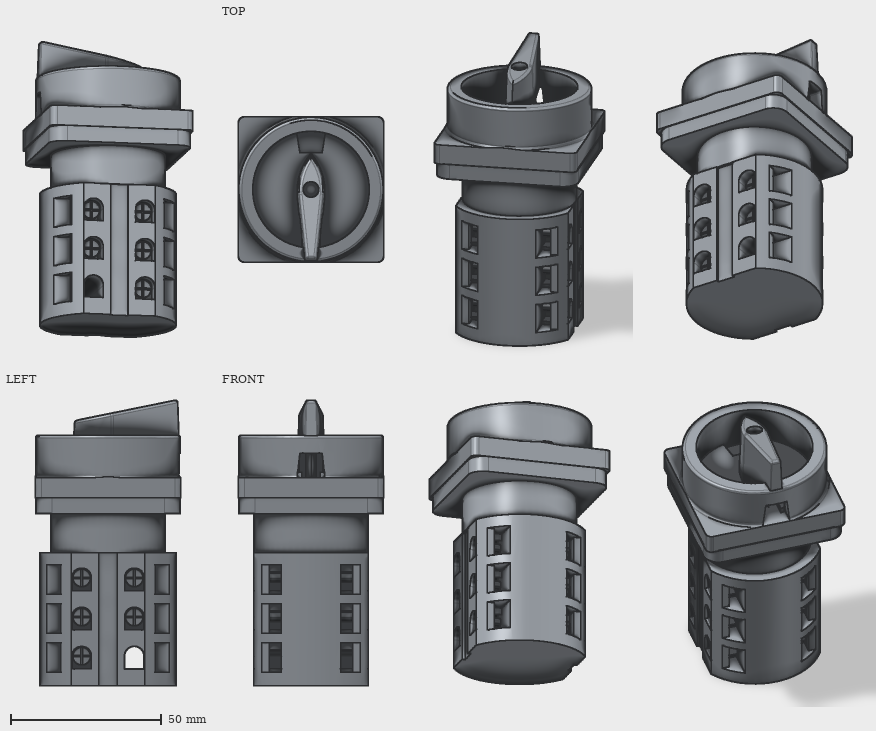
import cadquery as cq
import math


BODY_TOP = 44.4
NECK_TOP = 57.4
LOWER_PLATE_TOP = 62.6
PLATE_TOP = 69.3
DISC_TOP = 71.1
RING_TOP = 83.6
KNOB_PEAK = 95.2

BODY_HALF_X = 19.1
BODY_HALF_Y = 22.75
FLAT_HALF_Y = 12.2
GROOVE_HALF_Y = 3.0
GROOVE_DEPTH = 1.0
STAGE_COUNT = 3
STAGE_PITCH = 13.0
LOWEST_STAGE = 9.9
STAGE_HEIGHTS = [LOWEST_STAGE + stage * STAGE_PITCH for stage in range(STAGE_COUNT)]

WINDOW_INNER_X = 9.9
WINDOW_STEP_X = 13.9
WINDOW_OUTER_X = 16.6
WINDOW_STEP_Y = 15.7
WINDOW_BACK_Y = 11.2
WINDOW_HEIGHT = 9.8
WINDOW_DROP = 0.5
CHANNEL_Y = 8.8
CHANNEL_RADIUS = 3.2
CHANNEL_DROP = 4.3
HEAD_RADIUS = 2.95
HEAD_THICKNESS = 1.2
CROSS_WIDTH = 0.6
CROSS_DEPTH = 0.6
SHANK_RADIUS = 1.5

NECK_RADIUS = 19.0
PLATE_SIZE = 48.5
PLATE_CORNER = 2.1
LOWER_PLATE_SIZE = 48.1
LOWER_PLATE_CORNER = 5.2

RING_RADIUS = 24.1
BORE_RADIUS = 19.4
RING_FILLET = 0.95
COVE_RADIUS = 0.95
NOTCH_INNER_Y = 12.2
NOTCH_INNER_HALF = 3.7
NOTCH_OUTER_HALF = 4.8
RING_WINDOW_TOP = 77.6
RING_WINDOW_BASE_HALF = 4.7
RING_WINDOW_TOP_HALF = 3.7
RING_WINDOW_CORNER = 0.6

KNOB_DRAFT = 2.0
KNOB_HALF_WIDTH = 4.7
KNOB_TIP_Y = 12.1
KNOB_SHOULDER_Y = -0.9
KNOB_SHOULDER_LENGTH = 0.9
KNOB_TAIL_Y = -24.1
KNOB_TAIL_HALF = 2.5
KNOB_PEAK_Y = -22.3
KNOB_SLOPE = 11.5
KNOB_FILLET = 0.95
KNOB_TAIL_FILLET = 0.3
KNOB_HOLE_RADIUS = 2.6
KNOB_HOLE_FLOOR = 80.9
UNDERCUT_Y = -8.4
DISC_SLOT_HALF = 3.0
NOSE_HALF = 1.7
NOSE_TIP_Y = -15.2


def block(x_range, y_range, z_range):
    """Axis-aligned box given by its limits along each axis."""
    corners = [sorted(limits) for limits in (x_range, y_range, z_range)]
    sizes = [high - low for low, high in corners]
    lows = [low for low, high in corners]
    return cq.Workplane("XY").box(*sizes, centered=False).translate(tuple(lows))


def rod(radius, x_start, x_end, y, z):
    """Cylinder parallel to X."""
    start = min(x_start, x_end)
    return (
        cq.Workplane("YZ", origin=(start, y, z))
        .circle(radius)
        .extrude(abs(x_end - x_start))
    )


def arched_channel(x_start, x_end, y, z):
    """Round-topped, flat-bottomed tunnel parallel to X."""
    start = min(x_start, x_end)
    return (
        cq.Workplane("YZ", origin=(start, y, z))
        .moveTo(-CHANNEL_RADIUS, -CHANNEL_DROP)
        .lineTo(CHANNEL_RADIUS, -CHANNEL_DROP)
        .lineTo(CHANNEL_RADIUS, 0)
        .threePointArc((0, CHANNEL_RADIUS), (-CHANNEL_RADIUS, 0))
        .close()
        .extrude(abs(x_end - x_start))
    )


def terminal_screw(side, y, z):
    """Cross-slotted screw whose shank is rooted in the inner wall of the window."""
    head_face = side * (WINDOW_STEP_X + HEAD_THICKNESS)
    slot_floor = head_face - side * CROSS_DEPTH
    head = rod(HEAD_RADIUS, side * WINDOW_STEP_X, head_face, y, z)
    for half_y, half_z in [(CROSS_WIDTH / 2, HEAD_RADIUS), (HEAD_RADIUS, CROSS_WIDTH / 2)]:
        head = head.cut(
            block((slot_floor, head_face), (y - half_y, y + half_y), (z - half_z, z + half_z))
        )
    shank = rod(SHANK_RADIUS, side * WINDOW_INNER_X, side * WINDOW_STEP_X, y, z)
    return head.union(shank)


def contact_body():
    body = (
        cq.Workplane("XY")
        .moveTo(-BODY_HALF_X, -FLAT_HALF_Y)
        .threePointArc((0, -BODY_HALF_Y), (BODY_HALF_X, -FLAT_HALF_Y))
        .lineTo(BODY_HALF_X, FLAT_HALF_Y)
        .threePointArc((0, BODY_HALF_Y), (-BODY_HALF_X, FLAT_HALF_Y))
        .close()
        .extrude(BODY_TOP)
    )
    groove_y = (-GROOVE_HALF_Y, GROOVE_HALF_Y)
    for side in (-1, 1):
        groove_x = (side * (BODY_HALF_X - GROOVE_DEPTH), side * BODY_HALF_X)
        body = body.cut(block(groove_x, groove_y, (0, BODY_TOP)))
        for end in (-1, 1):
            for z in STAGE_HEIGHTS:
                body = cut_terminal(body, side, end, z)
    return body.cut(arched_channel(-BODY_HALF_X, BODY_HALF_X, -CHANNEL_Y, LOWEST_STAGE))


def cut_terminal(body, side, end, z):
    """Open one stepped wire window with its screw channel and fit the screw."""
    middle = z - WINDOW_DROP
    window_z = (middle - WINDOW_HEIGHT / 2, middle + WINDOW_HEIGHT / 2)
    deep_x = (side * WINDOW_INNER_X, side * WINDOW_STEP_X)
    step_x = (side * WINDOW_STEP_X, side * WINDOW_OUTER_X)
    channel_y = end * CHANNEL_Y
    body = body.cut(block(deep_x, (end * WINDOW_BACK_Y, end * BODY_HALF_Y), window_z))
    body = body.cut(block(step_x, (end * WINDOW_STEP_Y, end * BODY_HALF_Y), window_z))
    body = body.cut(arched_channel(side * WINDOW_INNER_X, side * BODY_HALF_X, channel_y, z))
    if end == -1 and z == LOWEST_STAGE:
        return body
    return body.union(terminal_screw(side, channel_y, z))


def rounded_plate(size, corner, bottom, top):
    return (
        cq.Workplane("XY", origin=(0, 0, bottom))
        .rect(size, size)
        .extrude(top - bottom)
        .edges("|Z")
        .fillet(corner)
    )


def collar_ring():
    """Ring wall with its inner disc, and a cove at the foot trimmed to the plate."""
    ring = (
        cq.Workplane("XY", origin=(0, 0, PLATE_TOP))
        .circle(RING_RADIUS)
        .extrude(RING_TOP - PLATE_TOP)
        .edges(">Z")
        .fillet(RING_FILLET)
    )
    bore = cq.Workplane("XY", origin=(0, 0, DISC_TOP)).circle(BORE_RADIUS).extrude(RING_TOP - DISC_TOP)
    cove_mid = COVE_RADIUS * (1 - math.sqrt(0.5))
    cove = (
        cq.Workplane("XZ")
        .moveTo(BORE_RADIUS, PLATE_TOP)
        .lineTo(RING_RADIUS + COVE_RADIUS, PLATE_TOP)
        .threePointArc(
            (RING_RADIUS + cove_mid, PLATE_TOP + cove_mid),
            (RING_RADIUS, PLATE_TOP + COVE_RADIUS),
        )
        .lineTo(BORE_RADIUS, PLATE_TOP + COVE_RADIUS)
        .close()
        .revolve(360, (0, 0, 0), (0, 1, 0))
        .intersect(rounded_plate(PLATE_SIZE, PLATE_CORNER, PLATE_TOP, RING_TOP))
    )
    notch_outer_y = math.sqrt(BORE_RADIUS**2 - NOTCH_OUTER_HALF**2)
    notch = (
        cq.Workplane("XY", origin=(0, 0, PLATE_TOP))
        .moveTo(-NOTCH_INNER_HALF, NOTCH_INNER_Y)
        .lineTo(NOTCH_INNER_HALF, NOTCH_INNER_Y)
        .lineTo(NOTCH_OUTER_HALF, notch_outer_y)
        .threePointArc((0, BORE_RADIUS), (-NOTCH_OUTER_HALF, notch_outer_y))
        .close()
        .extrude(DISC_TOP - PLATE_TOP)
    )
    return ring.cut(bore).union(cove).cut(notch)


def pointer_knob():
    """Drafted pointer with a sloping top, rounded upper edges and a blind hole."""
    tip_rise = KNOB_TIP_Y - KNOB_SHOULDER_Y
    side_radius = (KNOB_HALF_WIDTH**2 + tip_rise**2) / (2 * KNOB_HALF_WIDTH)
    mid_y = KNOB_SHOULDER_Y + tip_rise / 2
    mid_x = KNOB_HALF_WIDTH - side_radius + math.sqrt(side_radius**2 - (tip_rise / 2) ** 2)
    taper_start_y = KNOB_SHOULDER_Y - KNOB_SHOULDER_LENGTH
    knob = (
        cq.Workplane("XY", origin=(0, 0, DISC_TOP))
        .moveTo(0, KNOB_TIP_Y)
        .threePointArc((-mid_x, mid_y), (-KNOB_HALF_WIDTH, KNOB_SHOULDER_Y))
        .lineTo(-KNOB_HALF_WIDTH, taper_start_y)
        .lineTo(-KNOB_TAIL_HALF, KNOB_TAIL_Y)
        .lineTo(KNOB_TAIL_HALF, KNOB_TAIL_Y)
        .lineTo(KNOB_HALF_WIDTH, taper_start_y)
        .lineTo(KNOB_HALF_WIDTH, KNOB_SHOULDER_Y)
        .threePointArc((mid_x, mid_y), (0, KNOB_TIP_Y))
        .close()
        .extrude(KNOB_PEAK - DISC_TOP + KNOB_FILLET, taper=KNOB_DRAFT)
    )
    knob = knob.faces("<Y").edges("not #Z").fillet(KNOB_TAIL_FILLET)
    above_top = (
        cq.Workplane("XY")
        .rect(2 * PLATE_SIZE, 2 * PLATE_SIZE)
        .extrude(PLATE_SIZE)
        .rotate((0, 0, 0), (1, 0, 0), -KNOB_SLOPE)
        .translate((0, KNOB_PEAK_Y, KNOB_PEAK))
    )
    knob = knob.cut(above_top)
    knob = knob.faces(">Z").edges().fillet(KNOB_FILLET)
    hole = cq.Workplane("XY", origin=(0, 0, KNOB_HOLE_FLOOR)).circle(KNOB_HOLE_RADIUS).extrude(PLATE_SIZE)
    return knob.cut(hole)


def front_opening():
    """Tapered window through the ring and under the knob, with a narrower slot in the disc."""
    window = (
        cq.Workplane("XZ", origin=(0, UNDERCUT_Y, 0))
        .moveTo(-RING_WINDOW_BASE_HALF, PLATE_TOP)
        .lineTo(-RING_WINDOW_TOP_HALF, RING_WINDOW_TOP)
        .lineTo(RING_WINDOW_TOP_HALF, RING_WINDOW_TOP)
        .lineTo(RING_WINDOW_BASE_HALF, PLATE_TOP)
        .close()
        .extrude(PLATE_SIZE)
        .edges("|Y and >Z")
        .fillet(RING_WINDOW_CORNER)
    )
    disc = (
        cq.Workplane("XY", origin=(0, 0, PLATE_TOP))
        .circle(BORE_RADIUS)
        .extrude(DISC_TOP - PLATE_TOP)
    )
    slot = block(
        (-DISC_SLOT_HALF, DISC_SLOT_HALF), (-BORE_RADIUS, UNDERCUT_Y), (PLATE_TOP, DISC_TOP)
    )
    return window.cut(disc.cut(slot))


def locking_nose():
    """Upright wedge under the knob that points out through the window."""
    return (
        cq.Workplane("XY", origin=(0, 0, PLATE_TOP))
        .polyline([(-NOSE_HALF, UNDERCUT_Y), (NOSE_HALF, UNDERCUT_Y), (0, NOSE_TIP_Y)])
        .close()
        .extrude(RING_WINDOW_TOP - PLATE_TOP)
    )


neck = cq.Workplane("XY", origin=(0, 0, BODY_TOP)).circle(NECK_RADIUS).extrude(NECK_TOP - BODY_TOP)
lower_plate = rounded_plate(LOWER_PLATE_SIZE, LOWER_PLATE_CORNER, NECK_TOP, LOWER_PLATE_TOP)
plate = rounded_plate(PLATE_SIZE, PLATE_CORNER, LOWER_PLATE_TOP, PLATE_TOP)
control_head = collar_ring().union(pointer_knob()).cut(front_opening()).union(locking_nose())

result = contact_body().union(neck).union(lower_plate).union(plate).union(control_head)